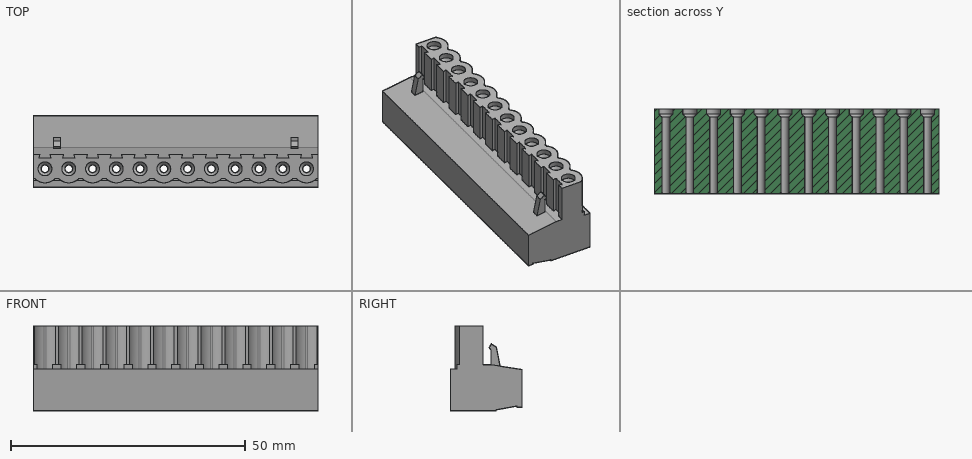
import cadquery as cq
import math

BODY_LENGTH = 60.85
BODY_DEPTH = 15.33
TOTAL_HEIGHT = 18.15

POLE_COUNT = 12
PITCH = 5.08
END_MARGIN = (BODY_LENGTH - PITCH * (POLE_COUNT - 1)) / 2
POLE_Y = 3.95

FRONT_LEDGE_HEIGHT = 8.95
SHELF_HEIGHT = 9.9
COLUMN_BACK_Y = 7.0
SLOPE_START_Y = 8.45
BACK_TOP_HEIGHT = 8.85
BACK_BOTTOM_HEIGHT = 0.75
LIP_START_Y = 14.2
UNDERSIDE_LIP_HEIGHT = 1.0
UNDERSIDE_STEP_Y = 9.8
UNDERSIDE_STEP_HEIGHT = 0.2

LOBE_RADIUS = 3.0
LOBE_FLAT_WIDTH = 0.45
VALLEY_Y = 1.93
WEB_FRONT_Y = 1.45

GROOVE_MOUTH_WIDTH = 2.2
GROOVE_FLOOR_WIDTH = 2.6
GROOVE_DEPTH = 0.75

HOLE_TOP_DIAMETER = 2.95
HOLE_BORE_DIAMETER = 1.6
HOLE_TOP_DEPTH = 1.1

LATCH_WIDTH = 1.5
LATCH_ROOT_SINK = 0.5
LATCH_FRONT_Y = 8.65
LATCH_BACK_Y = 10.65
LATCH_ROOT_BACK_HEIGHT = 9.55
LATCH_SHOULDER = (9.85, 13.6)
LATCH_TIP = (8.75, 14.35)
LATCH_HOOK = (8.27, 13.5)
LATCH_HOOK_BOTTOM_HEIGHT = 13.0

pole_xs = [END_MARGIN + PITCH * i for i in range(POLE_COUNT)]
column_height = TOTAL_HEIGHT - SHELF_HEIGHT


def extrude_side_profile(points, x_start, width):
    """Extrude a closed (Y, Z) outline along +X."""
    plane = cq.Workplane("YZ", origin=(x_start, 0, 0))
    return plane.polyline(points).close().extrude(width)


def block(x_range, y_range, z_range):
    """Axis-aligned block between the given limits."""
    size = [high - low for low, high in (x_range, y_range, z_range)]
    corner = (x_range[0], y_range[0], z_range[0])
    return cq.Workplane("XY").box(*size, centered=False).translate(corner)


def make_housing():
    """Lower housing together with the plain rear part of the column row."""
    points = [
        (0, 0),
        (0, FRONT_LEDGE_HEIGHT),
        (VALLEY_Y, FRONT_LEDGE_HEIGHT),
        (VALLEY_Y, TOTAL_HEIGHT),
        (COLUMN_BACK_Y, TOTAL_HEIGHT),
        (COLUMN_BACK_Y, SHELF_HEIGHT),
        (SLOPE_START_Y, SHELF_HEIGHT),
        (BODY_DEPTH, BACK_TOP_HEIGHT),
        (BODY_DEPTH, BACK_BOTTOM_HEIGHT),
        (LIP_START_Y, BACK_BOTTOM_HEIGHT),
        (LIP_START_Y, UNDERSIDE_LIP_HEIGHT),
        (UNDERSIDE_STEP_Y, UNDERSIDE_STEP_HEIGHT),
        (UNDERSIDE_STEP_Y, 0),
    ]
    return extrude_side_profile(points, 0, BODY_LENGTH)


def make_lobe(x):
    """Rounded column front: two arcs about the pole axis, parted by a narrow crest flat."""
    half_flat = LOBE_FLAT_WIDTH / 2
    crest_y = POLE_Y - math.sqrt(LOBE_RADIUS**2 - half_flat**2)
    half_width = math.sqrt(LOBE_RADIUS**2 - (POLE_Y - VALLEY_Y) ** 2)
    return (
        cq.Workplane("XY", origin=(x, 0, FRONT_LEDGE_HEIGHT))
        .moveTo(-half_width, POLE_Y)
        .lineTo(-half_width, VALLEY_Y)
        .radiusArc((-half_flat, crest_y), -LOBE_RADIUS)
        .lineTo(half_flat, crest_y)
        .radiusArc((half_width, VALLEY_Y), -LOBE_RADIUS)
        .lineTo(half_width, POLE_Y)
        .close()
        .extrude(TOTAL_HEIGHT - FRONT_LEDGE_HEIGHT)
    )


def make_webs():
    """Low strip that fills the foot of every valley between the lobes."""
    return block((0, BODY_LENGTH), (WEB_FRONT_Y, POLE_Y), (FRONT_LEDGE_HEIGHT, SHELF_HEIGHT))


def make_groove(x):
    """Vertical dovetail groove, wider at its floor than at its mouth."""
    floor_y = COLUMN_BACK_Y - GROOVE_DEPTH
    points = [
        (-GROOVE_MOUTH_WIDTH / 2, COLUMN_BACK_Y),
        (-GROOVE_FLOOR_WIDTH / 2, floor_y),
        (GROOVE_FLOOR_WIDTH / 2, floor_y),
        (GROOVE_MOUTH_WIDTH / 2, COLUMN_BACK_Y),
    ]
    plane = cq.Workplane("XY", origin=(x, 0, SHELF_HEIGHT))
    return plane.polyline(points).close().extrude(column_height)


def make_hole(x):
    """Through bore with a wider top that ends in a 45 degree conical seat."""
    top_radius = HOLE_TOP_DIAMETER / 2
    bore_radius = HOLE_BORE_DIAMETER / 2
    seat_top = TOTAL_HEIGHT - HOLE_TOP_DEPTH
    seat_bottom = seat_top - (top_radius - bore_radius)
    outline = [
        (0, 0),
        (bore_radius, 0),
        (bore_radius, seat_bottom),
        (top_radius, seat_top),
        (top_radius, TOTAL_HEIGHT),
        (0, TOTAL_HEIGHT),
    ]
    hole = cq.Workplane("XZ").polyline(outline).close().revolve(360, (0, 0), (0, 1))
    return hole.translate((x, POLE_Y, 0))


def make_latch(x):
    """Hooked latch finger standing on the roof."""
    root_height = LATCH_ROOT_BACK_HEIGHT - LATCH_ROOT_SINK
    points = [
        (LATCH_FRONT_Y, root_height),
        (LATCH_FRONT_Y, LATCH_HOOK_BOTTOM_HEIGHT),
        LATCH_HOOK,
        LATCH_TIP,
        LATCH_SHOULDER,
        (LATCH_BACK_Y, LATCH_ROOT_BACK_HEIGHT),
        (LATCH_BACK_Y, root_height),
    ]
    return extrude_side_profile(points, x - LATCH_WIDTH / 2, LATCH_WIDTH)


result = make_housing().union(make_webs())

for pole_x in pole_xs:
    result = result.union(make_lobe(pole_x))

for pole_x in pole_xs:
    result = result.cut(make_groove(pole_x)).cut(make_hole(pole_x))

for latch_x in (pole_xs[0] + PITCH / 2, pole_xs[-1] - PITCH / 2):
    result = result.union(make_latch(latch_x))